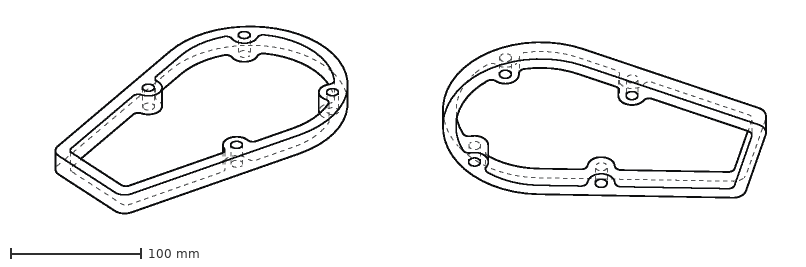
import cadquery as cq
import math

length = 245.0
height = 18.0
round_radius = 75.0
wall = 10.0
narrow_half_width = 40.0
outer_corner_radius = 10.0
inner_corner_radius = 5.0

hole_diameter = 9.0
boss_radius = 10.5
boss_blend_radius = 5.0
junction_reach = 11.5
hole_x = 50.0
upper_hole_y = 40.0
lower_hole_y = -60.0

narrow_end_y = round_radius - length

corner_distance = math.hypot(narrow_half_width, narrow_end_y)
side_angle = math.acos(round_radius / corner_distance) + math.atan2(narrow_end_y, narrow_half_width)


def teardrop(radius, end_y, corner_radius):
    """Solid with a round end, tangent straight sides and a rounded flat end."""
    tangent_x = radius * math.cos(side_angle)
    tangent_y = radius * math.sin(side_angle)
    end_x = (radius - end_y * math.sin(side_angle)) / math.cos(side_angle)
    return (
        cq.Workplane("XY")
        .moveTo(-end_x, end_y)
        .lineTo(end_x, end_y)
        .lineTo(tangent_x, tangent_y)
        .threePointArc((0, radius), (-tangent_x, tangent_y))
        .close()
        .extrude(height)
        .edges("|Z and <Y")
        .fillet(corner_radius)
    )


hole_centres = [(side * hole_x, y) for side in (-1, 1) for y in (upper_hole_y, lower_hole_y)]

outer_body = teardrop(round_radius, narrow_end_y, outer_corner_radius)
opening = teardrop(round_radius - wall, narrow_end_y + wall, inner_corner_radius)

bosses = cq.Workplane("XY").pushPoints(hole_centres).circle(boss_radius).extrude(height)
opening = opening.cut(bosses)
for x, y in hole_centres:
    junction_zone = cq.selectors.BoxSelector(
        (x - junction_reach, y - junction_reach, 0),
        (x + junction_reach, y + junction_reach, height),
    )
    opening = opening.edges("|Z").edges(junction_zone).fillet(boss_blend_radius)

holes = cq.Workplane("XY").pushPoints(hole_centres).circle(hole_diameter / 2).extrude(height)

result = outer_body.cut(opening).cut(holes)